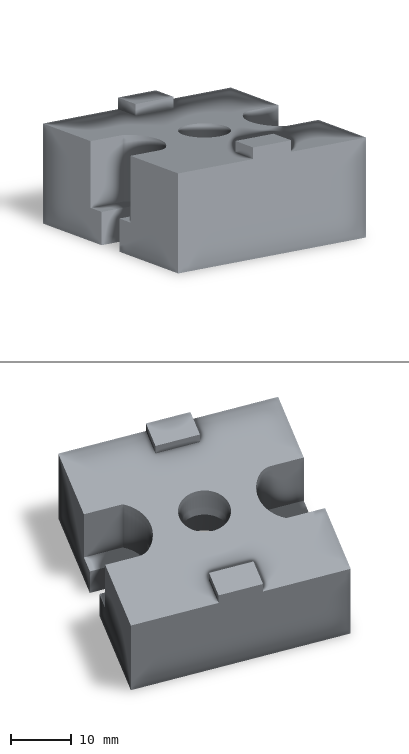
import cadquery as cq
import math

side = 38.1
total_height = 19.05
tab_height = 2.0
tab_length = 5.0
tab_width = 7.7
block_height = total_height - tab_height

bore_diameter = 8.72
recess_diameter = 19.05
recess_depth = 10.7

pocket_width = 11.2
pocket_depth = 9.75
pocket_floor = 5.68
pocket_end_radius = 6.7
pocket_corner_radius = 3.0
slot_width = 5.0
slot_depth = 8.75


def make_block():
    block = cq.Workplane("XY").box(side, side, block_height, centered=(True, True, False))
    for direction in (-1, 1):
        tab = (
            cq.Workplane("XY")
            .workplane(offset=block_height)
            .center(direction * (side - tab_length) / 2, 0)
            .rect(tab_length, tab_width)
            .extrude(tab_height)
        )
        block = block.union(tab)
    return block


def make_front_pocket():
    """Bowed-end pocket with only its +X inner corner rounded."""
    half_width = pocket_width / 2
    front = -side / 2
    end = front + pocket_depth
    bow = pocket_end_radius - math.sqrt(pocket_end_radius**2 - half_width**2)
    mid_height = (pocket_floor + block_height) / 2
    return (
        cq.Workplane("XY")
        .workplane(offset=pocket_floor)
        .moveTo(-half_width, front)
        .lineTo(half_width, front)
        .lineTo(half_width, end - bow)
        .threePointArc((0, end), (-half_width, end - bow))
        .close()
        .extrude(block_height - pocket_floor)
        .edges(cq.selectors.NearestToPointSelector((half_width, end - bow, mid_height)))
        .fillet(pocket_corner_radius)
    )


def make_front_slot():
    """Round-ended slot through the pocket floor."""
    radius = slot_width / 2
    front = -side / 2
    end = front + slot_depth
    return (
        cq.Workplane("XY")
        .moveTo(-radius, front)
        .lineTo(radius, front)
        .lineTo(radius, end - radius)
        .threePointArc((0, end), (-radius, end - radius))
        .close()
        .extrude(block_height)
    )


bore = cq.Workplane("XY").circle(bore_diameter / 2).extrude(block_height)
recess = cq.Workplane("XY").circle(recess_diameter / 2).extrude(recess_depth)
result = make_block().cut(bore).cut(recess)

bolt_opening = make_front_pocket().union(make_front_slot())
for angle in (0, 180):
    result = result.cut(bolt_opening.rotate((0, 0, 0), (0, 0, 1), angle))